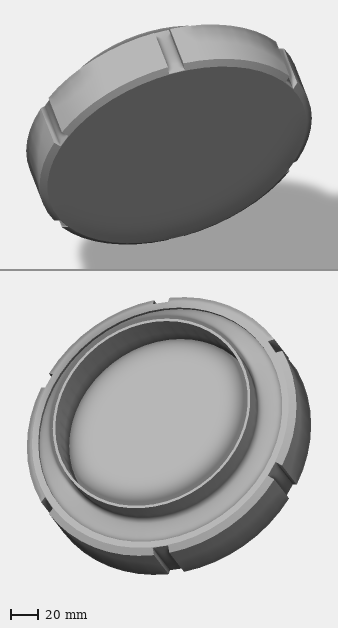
import cadquery as cq
import math

total_length = 59.5
nut_start = 19.7
nut_diameter = 210.0
chamfer_length = 3.2
chamfer_depth = 5.0
recess_diameter = 190.0
cone_angle = 10.0
tube_outer_diameter = 154.0
tube_inner_diameter = 150.0
bore_depth = 31.5
fillet_radius = 3.5
slot_count = 6
slot_width = 12.0
slot_floor_radius = 100.2

nut_radius = nut_diameter / 2
chamfered_radius = nut_radius - chamfer_depth
recess_radius = recess_diameter / 2
tube_radius = tube_outer_diameter / 2
nut_length = total_length - nut_start

cone_tilt = math.radians(cone_angle)
fillet_start = nut_start - fillet_radius
fillet_end = fillet_start + fillet_radius * math.cos(cone_tilt)
fillet_end_radius = tube_radius + fillet_radius * (1 - math.sin(cone_tilt))
cone_end = fillet_end + (recess_radius - fillet_end_radius) * math.tan(cone_tilt)


def make_body():
    """Revolve the tube, conical face and chamfered nut; profile is (axial, radial)."""
    profile = (
        cq.Workplane("XY")
        .moveTo(0, 0)
        .lineTo(0, tube_radius)
        .lineTo(fillet_start, tube_radius)
        .radiusArc((fillet_end, fillet_end_radius), -fillet_radius)
        .lineTo(cone_end, recess_radius)
        .lineTo(nut_start, recess_radius)
        .lineTo(nut_start, chamfered_radius)
        .lineTo(nut_start + chamfer_length, nut_radius)
        .lineTo(total_length - chamfer_length, nut_radius)
        .lineTo(total_length, chamfered_radius)
        .lineTo(total_length, 0)
        .close()
    )
    return profile.revolve(360, (0, 0, 0), (1, 0, 0))


def make_bore():
    """Blind round bore inside the tube."""
    return cq.Workplane("YZ").circle(tube_inner_diameter / 2).extrude(bore_depth)


def make_slot(angle):
    """Flat-bottomed spanner slot across the nut rim, turned from +Z by the angle."""
    slot_height = nut_radius
    slot = cq.Workplane("XY").box(
        nut_length, slot_width, slot_height, centered=(False, True, False)
    )
    slot = slot.translate((nut_start, 0, slot_floor_radius))
    return slot.rotate((0, 0, 0), (1, 0, 0), angle)


result = make_body().cut(make_bore())
for index in range(slot_count):
    result = result.cut(make_slot(index * 360 / slot_count))